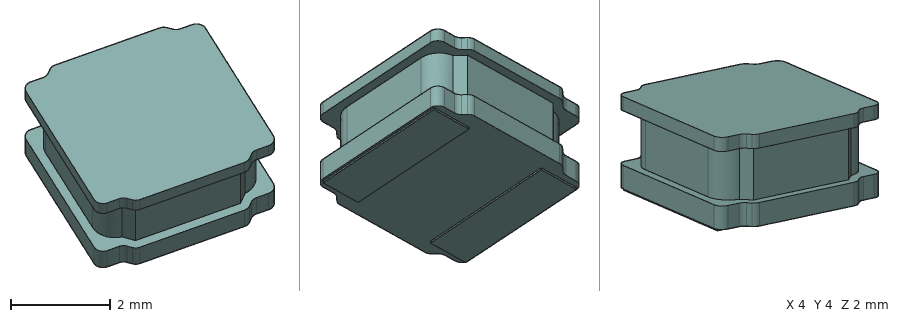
import cadquery as cq

side = 4.0
height = 2.0

pad_thickness = 0.05
base_thickness = 0.5
lid_thickness = 0.3
base_top = pad_thickness + base_thickness
lid_bottom = height - lid_thickness

half_side = side / 2
notch_depth = 0.2
notch_start = 1.25
flange_radius = 0.2

core_side = side - 2 * notch_depth
core_body_width = 3.2
core_radius = 0.5
cheek_flat_half = 1.17
cheek_chamfer = 0.24

pad_width = 3.3
pad_length = 0.96
pad_inset = 0.05


def make_flange(bottom, thickness):
    """Square plate with stepped-in corners, all vertical edges rounded."""
    end_half = half_side - notch_depth
    notch_end = notch_start + notch_depth
    quarter = [(half_side, notch_start), (end_half, notch_end), (end_half, half_side)]
    right_half = [(x, -y) for x, y in reversed(quarter)] + quarter
    left_half = [(-x, -y) for x, y in right_half]
    outline = cq.Workplane("XY").workplane(offset=bottom).polyline(right_half + left_half).close()
    return outline.extrude(thickness).edges("|Z").fillet(flange_radius)


def make_block(width, length, bottom, top):
    """Box centred on the Z axis between two heights."""
    block = cq.Workplane("XY").box(width, length, top - bottom, centered=(True, True, False))
    return block.translate((0, 0, bottom))


def make_core():
    """Rounded body with a chamfered cheek standing out on each X side."""
    body = make_block(core_body_width, core_side, base_top, lid_bottom)
    body = body.edges("|Z").fillet(core_radius)
    cheek_length = 2 * (cheek_flat_half + cheek_chamfer)
    cheeks = make_block(core_side, cheek_length, base_top, lid_bottom)
    cheeks = cheeks.edges("|Z").chamfer(cheek_chamfer)
    return body.union(cheeks)


def make_pad(direction):
    """Thin contact under the base, towards +Y or -Y."""
    center_y = direction * (half_side - pad_inset - pad_length / 2)
    return make_block(pad_width, pad_length, 0, pad_thickness).translate((0, center_y, 0))


result = make_flange(pad_thickness, base_thickness)
result = result.union(make_core())
result = result.union(make_flange(lid_bottom, lid_thickness))
for pad_direction in (-1, 1):
    result = result.union(make_pad(pad_direction))